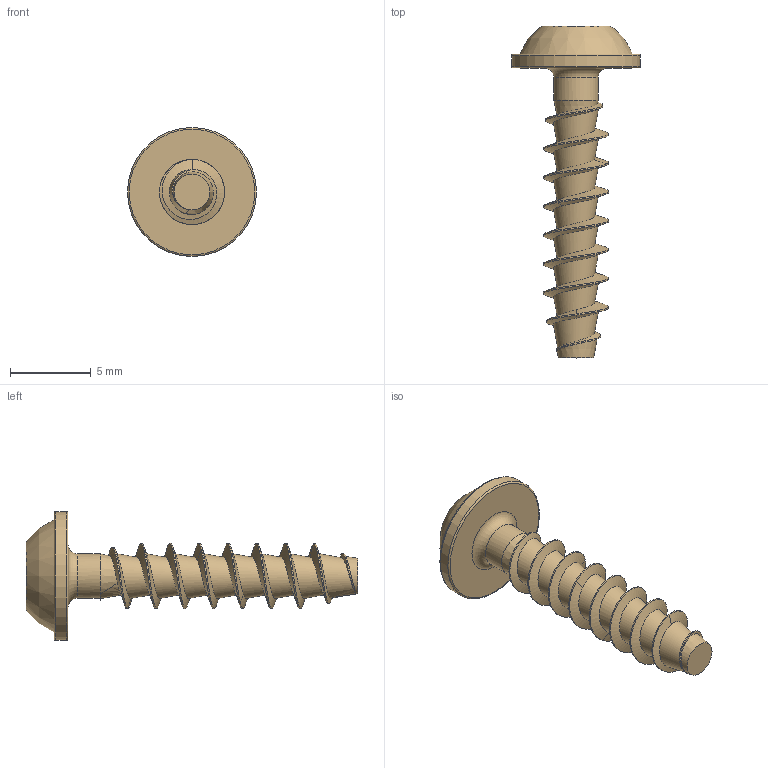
import cadquery as cq
import math


head_height = 2.6
flange_radius = 4.0
flange_thickness = 0.85
flange_edge_fillet = 0.1
dome_base_radius = 3.5
dome_top_radius = 2.15
dome_sphere_radius = 3.75

shank_length = 18.0
neck_radius = 1.38
neck_fillet = 0.6
neck_length = 2.0
neck_taper_length = 1.05
root_radius_low = 1.16
tip_radius = 1.1
tip_taper_length = 1.6

thread_radius = 2.02
pitch = 1.79
crest_width = 0.08
ridge_base_width = 0.58
ridge_depth = 0.97
first_crest_depth = 2.33
points_per_turn = 12

run_in_start = (-0.5, 1.43)
full_start_turn = 0.75
full_end_turn = 7.25
run_out_end = (9.0, 0.9)
full_pieces = 5

web_radius = 1.6
web_half_foot = 0.05
web_half_top = 0.02
web_run_in = 1.5
web_run_out = 0.5
cutter_margin = 0.1
first_groove_turn = -1.2
groove_turns = 11


def revolve_about_axis(profile):
    return profile.close().revolve(360, (0, 0, 0), (0, 1, 0))


def make_head():
    flange = cq.Workplane("XY").circle(flange_radius).extrude(flange_thickness)
    flange = flange.edges().fillet(flange_edge_fillet)
    dome = revolve_about_axis(
        cq.Workplane("XZ")
        .lineTo(dome_base_radius, 0)
        .lineTo(dome_base_radius, flange_thickness)
        .radiusArc((dome_top_radius, head_height), -dome_sphere_radius)
        .lineTo(0, head_height)
    )
    return flange.union(dome)


def make_neck():
    taper_end = -neck_length - neck_taper_length
    return revolve_about_axis(
        cq.Workplane("XZ")
        .lineTo(neck_radius + neck_fillet, 0)
        .radiusArc((neck_radius, -neck_fillet), -neck_fillet)
        .lineTo(neck_radius, -neck_length)
        .lineTo(root_radius_low, taper_end)
        .lineTo(0, taper_end)
    )


def make_core_blank():
    """Core stock as wide as the web, tapered at both ends."""
    tip_taper_start = tip_taper_length - shank_length
    return revolve_about_axis(
        cq.Workplane("XZ")
        .moveTo(0, -neck_length)
        .lineTo(neck_radius, -neck_length)
        .lineTo(web_radius, -neck_length - web_run_in)
        .lineTo(web_radius, tip_taper_start + web_run_out)
        .lineTo(neck_radius, tip_taper_start)
        .lineTo(tip_radius, -shank_length)
        .lineTo(0, -shank_length)
    )


def helical_edge(start, end, inset, rise):
    """Edge along the thread, inset from a (turn, radius) line and raised along the axis."""
    start_turn, start_radius = start
    end_turn, end_radius = end

    def point(fraction):
        turn = start_turn + fraction * (end_turn - start_turn)
        radius = start_radius + fraction * (end_radius - start_radius) - inset
        angle = -2 * math.pi * turn
        height = rise - first_crest_depth - pitch * turn
        return cq.Vector(radius * math.cos(angle), radius * math.sin(angle), height)

    count = math.ceil((end_turn - start_turn) * points_per_turn)
    return cq.Edge.makeSpline([point(i / count) for i in range(count + 1)])


def helical_solid(start, end, corners):
    """Solid between two (turn, radius) stations; corners are (inset, rise) pairs."""
    edges = [helical_edge(start, end, inset, rise) for inset, rise in corners]
    faces = [cq.Face.makeRuledSurface(edges[i - 1], edges[i]) for i in range(len(edges))]
    first_cap = [edge.startPoint() for edge in edges]
    last_cap = [edge.endPoint() for edge in edges]
    for cap in (first_cap, last_cap):
        faces.append(cq.Face.makeFromWires(cq.Wire.makePolygon(cap, close=True)))
    return cq.Workplane(cq.Solid.makeSolid(cq.Shell.makeShell(faces)).fix())


def make_core():
    """Core whose root narrows from just below each ridge to just above the next one."""
    root_slope = (neck_radius - root_radius_low) / (pitch - ridge_base_width)
    low_root_rise = ridge_base_width / 2 - pitch
    outer_radius = web_radius + cutter_margin

    def root_inset(rise):
        return outer_radius - root_radius_low - root_slope * (rise - low_root_rise)

    lower_foot = web_half_foot - pitch
    upper_foot = -web_half_foot
    corners = [
        (0, web_half_top - pitch),
        (root_inset(lower_foot), lower_foot),
        (root_inset(upper_foot), upper_foot),
        (0, -web_half_top),
    ]
    core = make_core_blank()
    for i in range(groove_turns):
        turn = first_groove_turn + i
        core = core.cut(helical_solid((turn, outer_radius), (turn + 1, outer_radius), corners))
    return core


def make_ridge(start, end):
    """Length of ridge whose crest radius changes evenly from start to end."""
    half_crest = crest_width / 2
    full_height = thread_radius - root_radius_low
    flank_slope = (ridge_base_width - crest_width) / 2 / full_height
    half_inner = half_crest + flank_slope * ridge_depth
    corners = [
        (0, half_crest),
        (0, -half_crest),
        (ridge_depth, -half_inner),
        (ridge_depth, half_inner),
    ]
    return helical_solid(start, end, corners)


def make_thread():
    thread = make_core()
    piece_turns = (full_end_turn - full_start_turn) / full_pieces
    full_turns = [full_start_turn + i * piece_turns for i in range(full_pieces + 1)]
    full_stations = [(turn, thread_radius) for turn in full_turns]
    stations = [run_in_start] + full_stations + [run_out_end]
    for start, end in zip(stations, stations[1:]):
        thread = thread.union(make_ridge(start, end))
    envelope = (
        cq.Workplane("XY", origin=(0, 0, -shank_length))
        .circle(flange_radius)
        .extrude(shank_length - neck_length)
    )
    return thread.intersect(envelope)


screw = make_thread().union(make_neck()).union(make_head())
result = screw.rotate((0, 0, 0), (1, 0, 0), -90).solids()